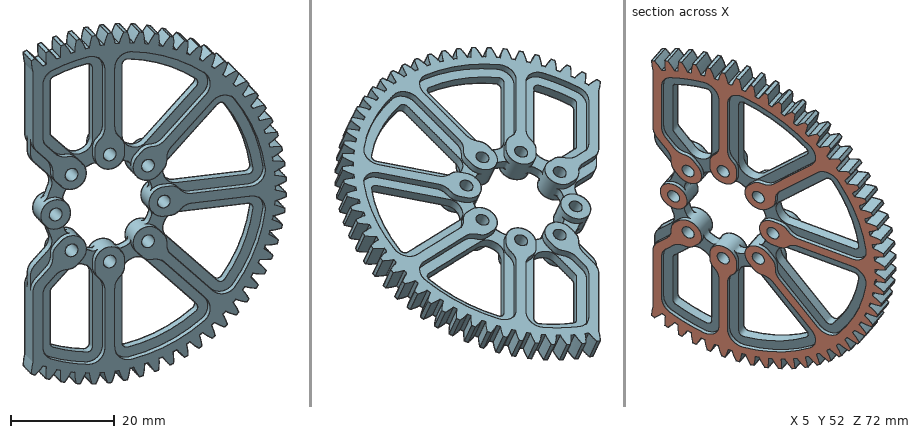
import cadquery as cq
import math


tip_radius = 36.0
full_tooth_count = 70
first_tooth = -5
last_tooth = 40
pressure_angle = 20.0
tooth_pitch = 360.0 / full_tooth_count
module = 2 * tip_radius / (full_tooth_count + 2)
pitch_radius = tip_radius - module
root_radius = pitch_radius - 1.25 * module
base_radius = pitch_radius * math.cos(math.radians(pressure_angle))
flank_points = 5

thickness = 5.0
web_thickness = 2.0

bolt_circle_radius = 11.0
boss_radius = 3.0
bolt_hole_radius = 1.3
ring_inner_radius = 9.5
ring_outer_radius = 12.5
boss_count = 8
boss_pitch = 360.0 / boss_count
hub_angles = [boss_pitch * i for i in range(boss_count)]
arm_angles = [boss_pitch * i for i in range(-1, boss_count - 2)]

rib_half_width = 1.0
flange_width = 2.0
arm_half_width = rib_half_width + flange_width
rim_inner_radius = 32.0
rim_window_radius = rim_inner_radius - flange_width
edge_rib_width = 2 * rib_half_width
edge_web_width = edge_rib_width + flange_width
pad_end_radius = 13.4

window_corner = 1.0
pocket_corner = window_corner + flange_width
hub_corner = 2.5
ring_corner = 1.0
edge_corner = 3.0

margin = 0.35


def polar(radius, angle):
    """Point (y, z) at a radius and an angle from +Z toward +Y."""
    a = math.radians(angle)
    return (radius * math.sin(a), radius * math.cos(a))


def involute(angle):
    return math.tan(angle) - angle


def tooth_half_angle(radius):
    """Half of the angle a tooth covers at a radius on its involute flank."""
    at_pitch = math.pi / (2 * full_tooth_count) + involute(math.radians(pressure_angle))
    return math.degrees(at_pitch - involute(math.acos(base_radius / radius)))


flank_radii = [
    root_radius + (tip_radius - root_radius) * i / (flank_points - 1) for i in range(flank_points)
]
root_half_angle = tooth_half_angle(root_radius)

edge_y = polar(root_radius, first_tooth * tooth_pitch - root_half_angle)[0]


def sketch():
    """Sketch plane on the -X face of the part."""
    return cq.Workplane("YZ", origin=(-thickness / 2, 0, 0))


def disc(radius, center=(0, 0)):
    return sketch().center(*center).circle(radius).extrude(thickness)


def gear_blank():
    """Toothed sector closed by the straight edge."""
    start = first_tooth * tooth_pitch - root_half_angle
    outline = sketch().moveTo(*polar(root_radius, start))
    for tooth in range(first_tooth, last_tooth + 1):
        middle = tooth * tooth_pitch
        rising = [polar(r, middle - tooth_half_angle(r)) for r in flank_radii]
        falling = [polar(r, middle + tooth_half_angle(r)) for r in reversed(flank_radii)]
        outline = outline.spline(rising[1:], includeCurrent=True)
        outline = outline.threePointArc(polar(tip_radius, middle), falling[0])
        outline = outline.spline(falling[1:], includeCurrent=True)
        if tooth < last_tooth:
            gap_middle = polar(root_radius, middle + tooth_pitch / 2)
            gap_end = polar(root_radius, middle + tooth_pitch - root_half_angle)
            outline = outline.threePointArc(gap_middle, gap_end)
    return outline.close().extrude(thickness)


def plain_blank():
    """Sector without teeth, closed by the straight edge."""
    side = 2 * root_radius
    kept_square = sketch().center(edge_y + root_radius, 0).rect(side, side).extrude(thickness)
    return disc(root_radius).intersect(kept_square)


def arm(half_profile, angle):
    """Symmetric arm from its (distance along, half width) points."""
    right = [(half_width, along) for along, half_width in half_profile]
    left = [(-half_width, along) for along, half_width in reversed(half_profile)]
    body = sketch().polyline(right + left).close().extrude(thickness)
    return body.rotate((0, 0, 0), (1, 0, 0), -angle)


def edge_bars(width, half_width_of_arm):
    """Bars along the straight edge, from inside the slanted arms out to the rim."""
    start = -edge_y - half_width_of_arm * math.sqrt(2)
    length = root_radius - start
    upper = sketch().center(edge_y, start).rect(width, length, centered=False).extrude(thickness)
    return upper.union(upper.mirror("XY"))


def frame(inner_radius, bar_width, half_profile):
    """Rim, edge bars, arms and bosses with square corners."""
    blank = plain_blank()
    spokes = edge_bars(bar_width, half_profile[-1][1])
    for angle in arm_angles:
        spokes = spokes.union(arm(half_profile, angle))
    for angle in hub_angles:
        spokes = spokes.union(disc(boss_radius, polar(bolt_circle_radius, angle)))
    return blank.cut(disc(inner_radius)).union(spokes.intersect(blank))


def round_corners(body, radius, nearest, farthest, y_from=-tip_radius, y_to=tip_radius):
    """Fillet the corners along X within a range of distances from the axis and of Y."""
    def is_corner(edge):
        center = edge.Center()
        distance = math.hypot(center.y, center.z)
        return nearest < distance < farthest and y_from < center.y < y_to

    return body.edges("|X").filter(is_corner).fillet(radius)


def rib_frame():
    """Rim, ribs and bosses of full thickness; each rib widens at 45 degrees to its boss pad."""
    taper_end = pad_end_radius + boss_radius - rib_half_width
    half_profile = [
        (bolt_circle_radius, boss_radius),
        (pad_end_radius, boss_radius),
        (taper_end, rib_half_width),
        (tip_radius, rib_half_width),
    ]
    body = frame(rim_inner_radius, edge_rib_width, half_profile)
    body = round_corners(body, pocket_corner, taper_end, root_radius - margin)
    return round_corners(body, hub_corner, pad_end_radius, taper_end)


def web_frame():
    """Outline around the large windows, with the ring that ties the bosses together."""
    half_profile = [(bolt_circle_radius, arm_half_width), (tip_radius, arm_half_width)]
    body = frame(rim_window_radius, edge_web_width, half_profile)
    body = body.union(disc(ring_outer_radius).cut(disc(ring_inner_radius)))
    inside_edge = edge_y + margin
    body = round_corners(body, edge_corner, pad_end_radius, rim_window_radius, y_to=inside_edge)
    body = round_corners(body, window_corner, pad_end_radius, rim_inner_radius, y_from=inside_edge)
    body = round_corners(body, hub_corner, ring_outer_radius - margin, pad_end_radius)
    return round_corners(body, ring_corner, ring_inner_radius - margin, ring_inner_radius + margin)


def gaps(body):
    """Everything inside the rim that a frame leaves open."""
    return disc(rim_inner_radius + margin).cut(body)


def bolt_holes():
    centers = [polar(bolt_circle_radius, angle) for angle in hub_angles]
    return sketch().pushPoints(centers).circle(bolt_hole_radius).extrude(thickness)


windows = gaps(web_frame())
pockets = gaps(rib_frame())
pocket_shift = (thickness + web_thickness) / 2

result = gear_blank().cut(windows)
for side in (-1, 1):
    result = result.cut(pockets.translate((side * pocket_shift, 0, 0)))
result = result.cut(bolt_holes())